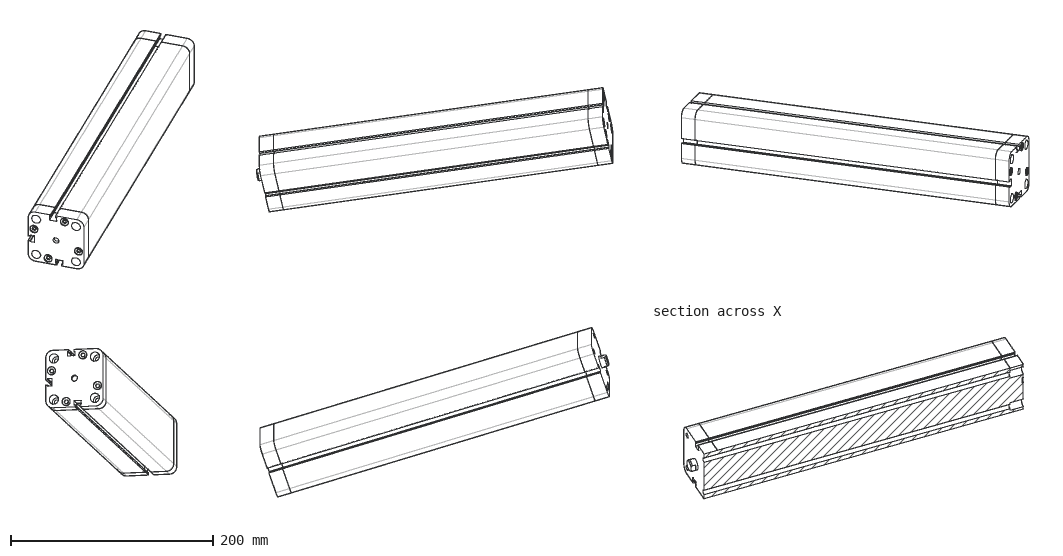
import cadquery as cq

width = 58.0
total_length = 352.0
rod_length = 7.0
body_length = total_length - rod_length
corner_radius = 7.5

cap_length = 14.5
joint_width = 0.18
joint_depth = 0.18

slot_angles = (0, -90, 180)
slot_offset = 3.0
slot_mouth_width = 5.3
slot_lip = 2.0
slot_inner_width = 7.5
slot_depth = 6.5

bolt_offset = 20.8
bolt_hole_diameter = 5.0
bolt_counterbore_diameter = 9.0
bolt_counterbore_depth = cap_length
center_hole_diameter = 6.0
center_hole_depth = 3.5

screw_long_offset = 23.2
screw_short_offset = 8.5
screw_recess_diameter = 8.0
screw_recess_depth = 1.0
socket_across_corners = 4.2
socket_depth = 2.8

rod_diameter = 12.0
rod_flat_spacing = 10.0
rod_flat_length = 5.0
rod_chamfer_length = 1.5
rod_chamfer_depth = 0.7


def block(x_size, z_size, y_start, y_end):
    """Box centred on the Y axis."""
    return cq.Workplane("XY").box(x_size, y_end - y_start, z_size).translate((0, (y_start + y_end) / 2, 0))


def rounded_bar(size, radius, y_start, y_end):
    return block(size, size, y_start, y_end).edges("|Y").fillet(radius)


def bores(points, diameter, depth):
    """Round holes going back from the front face."""
    front = cq.Workplane("XZ").pushPoints(points)
    return front.circle(diameter / 2).extrude(-depth)


def joint_groove(y_center):
    """Fine groove around the outside and along the slot walls."""
    y_start = y_center - joint_width / 2
    y_end = y_center + joint_width / 2
    core_size = width - 2 * joint_depth
    core = rounded_bar(core_size, corner_radius - joint_depth, y_start, y_end)
    for angle in slot_angles:
        core = core.cut(t_slot(angle, y_start, y_end, joint_depth))
    return block(width, width, y_start, y_end).cut(core)


def t_slot(angle, y_start, y_end, growth=0.0):
    """T-slot of the top side with its walls moved out by growth, turned about the Y axis."""
    mouth_bottom = width / 2 - slot_lip
    slot_floor = width / 2 - slot_depth
    inner_height = mouth_bottom - slot_floor + 2 * growth
    inner_center = (mouth_bottom + slot_floor) / 2
    mouth = block(slot_mouth_width + 2 * growth, slot_lip, y_start, y_end)
    mouth = mouth.translate((-slot_offset, 0, width / 2 - slot_lip / 2))
    inner = block(slot_inner_width + 2 * growth, inner_height, y_start, y_end)
    inner = inner.translate((-slot_offset, 0, inner_center))
    return mouth.union(inner).rotate((0, 0, 0), (0, 1, 0), angle)


def piston_rod():
    """Rod end with two side flats, standing on the rear face."""
    rear_face = cq.Workplane("XZ", origin=(0, body_length, 0))
    rod = rear_face.circle(rod_diameter / 2).extrude(-rod_length)
    rod = rod.faces(">Y").chamfer(rod_chamfer_length, rod_chamfer_depth)
    shank = block(rod_diameter, rod_diameter, body_length, total_length - rod_flat_length)
    flats = block(rod_flat_spacing, rod_diameter, body_length, total_length)
    return rod.intersect(shank.union(flats))


body = rounded_bar(width, corner_radius, 0, body_length)

for joint in (cap_length, body_length - cap_length):
    body = body.cut(joint_groove(joint))

for angle in slot_angles:
    body = body.cut(t_slot(angle, 0, body_length))

bolt_points = [(x, z) for x in (-bolt_offset, bolt_offset) for z in (-bolt_offset, bolt_offset)]
body = body.cut(bores(bolt_points, bolt_hole_diameter, body_length))
body = body.cut(bores(bolt_points, bolt_counterbore_diameter, bolt_counterbore_depth))
body = body.cut(bores([(0, 0)], center_hole_diameter, center_hole_depth))

screw_points = [
    (screw_short_offset, screw_long_offset),
    (screw_long_offset, -screw_short_offset),
    (-screw_short_offset, -screw_long_offset),
    (-screw_long_offset, screw_short_offset),
]
sockets = cq.Workplane("XZ").pushPoints(screw_points).polygon(6, socket_across_corners).extrude(-socket_depth)
body = body.cut(bores(screw_points, screw_recess_diameter, screw_recess_depth)).cut(sockets)

result = body.union(piston_rod())